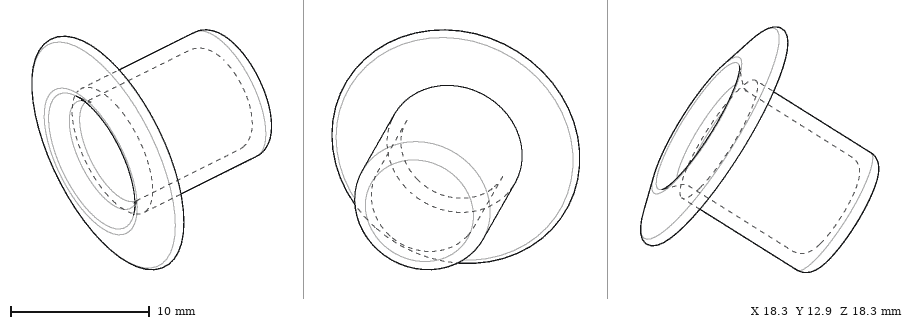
import math

import cadquery as cq


barrel_radius = 5.0
barrel_length = 11.0
barrel_end_fillet = 1.0

wall = 1.0
bore_radius = barrel_radius - wall
bore_floor_y = barrel_length - wall
bore_floor_fillet = 1.0

flange_radius = 9.165
flange_sharp_height = 2.0
flange_slope = math.radians(20)
countersink_slope = math.radians(45)
rim_fillet = 0.4
crown_fillet = 0.4
throat_fillet = 1.0

rim_corner_radius = flange_radius - rim_fillet + rim_fillet / math.tan(flange_slope / 2)
crown_corner_radius = rim_corner_radius - flange_sharp_height / math.tan(flange_slope)
throat_y = -flange_sharp_height + (crown_corner_radius - bore_radius) * math.tan(countersink_slope)


def revolved_body():
    """Sharp-cornered half section (radius along X, axis along Y) turned about the Y axis."""
    section = (
        cq.Workplane("XY")
        .moveTo(0, barrel_length)
        .lineTo(barrel_radius, barrel_length)
        .lineTo(barrel_radius, 0)
        .lineTo(rim_corner_radius, 0)
        .lineTo(crown_corner_radius, -flange_sharp_height)
        .lineTo(bore_radius, throat_y)
        .lineTo(bore_radius, bore_floor_y)
        .lineTo(0, bore_floor_y)
        .close()
    )
    return section.revolve(360, (0, 0, 0), (0, 1, 0))


def round_circle(body, radius, y, fillet):
    """Fillet the circular edge of the given radius that lies at position y on the axis."""
    margin = 0.01
    reach = radius + margin
    edge_box = cq.selectors.BoxSelector(
        (-reach, y - margin, -reach),
        (reach, y + margin, reach),
        boundingbox=True,
    )
    largest = cq.selectors.RadiusNthSelector(-1)
    return body.edges(edge_box).edges(largest).fillet(fillet)


result = revolved_body()
result = round_circle(result, barrel_radius, barrel_length, barrel_end_fillet)
result = round_circle(result, bore_radius, bore_floor_y, bore_floor_fillet)
result = round_circle(result, bore_radius, throat_y, throat_fillet)
result = round_circle(result, crown_corner_radius, -flange_sharp_height, crown_fillet)
result = round_circle(result, rim_corner_radius, 0, rim_fillet)